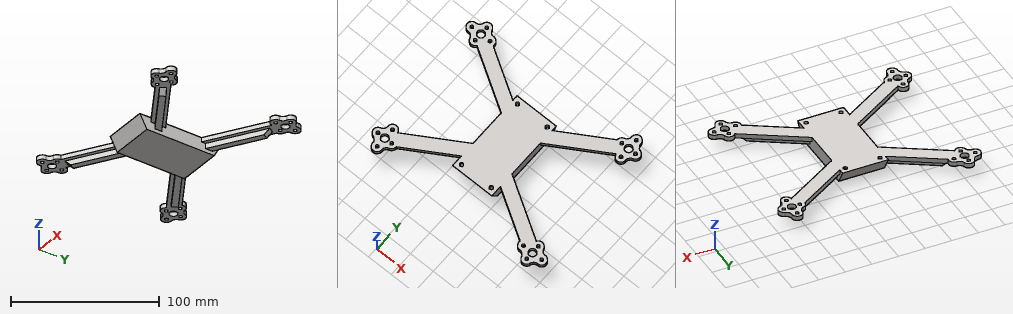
import cadquery as cq
import math

overall_x = 154.0
overall_y = 124.0
plate_thickness = 3.5

long_pitch = 8.0
short_pitch = 6.0
lobe_radius = 4.0
valley_radius = 4.0
screw_diameter = 2.5
shaft_diameter = 6.0
motor_x = overall_x / 2 - long_pitch - lobe_radius
motor_y = overall_y / 2 - long_pitch - lobe_radius

body_width = 34.5
body_length = 67.1
body_bottom_length = 55.5
body_height = 10.6
body_center_y = -2.5

mount_x = 13.1
mount_y = 29.1
mount_diameter = 3.0
mount_depth = plate_thickness
ramp_angle = 60.0

arm_width = 10.3
arm_root_x = body_width / 2
arm_root_y = 20.8
rib_width = 4.8
rib_bottom = 7.7
rib_end_gap = 10.5
rib_height = rib_bottom - plate_thickness
arm_length = math.hypot(motor_x - arm_root_x, motor_y - arm_root_y)
arm_angle = math.degrees(math.atan2(motor_y - arm_root_y, motor_x - arm_root_x))
root_overlap = 6.2

quadrants = [(sx, sy) for sx in (-1, 1) for sy in (-1, 1)]


def make_body():
    top = body_length / 2
    bottom = body_bottom_length / 2
    profile = [(-top, 0), (top, 0), (bottom, -body_height), (-bottom, -body_height)]
    body = cq.Workplane("YZ").polyline(profile).close().extrude(body_width / 2, both=True)
    return body.translate((0, body_center_y, 0))


def make_arm():
    """Arm in the +X +Y quadrant, built along X from the motor centre and then turned."""
    length = arm_length + root_overlap
    strip = cq.Workplane("XY").box(length, arm_width, plate_thickness, centered=(False, True, False))
    strip = strip.translate((-length, 0, -plate_thickness))
    rib_profile = [
        (-length, -plate_thickness),
        (-rib_end_gap, -plate_thickness),
        (-rib_end_gap - rib_height, -rib_bottom),
        (-length, -rib_bottom),
    ]
    rib = cq.Workplane("XZ").polyline(rib_profile).close().extrude(rib_width / 2, both=True)
    arm = strip.union(rib)
    return arm.rotate((0, 0, 0), (0, 0, 1), arm_angle).translate((motor_x, motor_y, 0))


def make_pad(pitch_x, pitch_y):
    """Four round lobes joined by concave arcs tangent to neighbouring lobes."""
    half_span = math.hypot(pitch_x, pitch_y) / 2
    rise = math.sqrt((lobe_radius + valley_radius) ** 2 - half_span**2)
    valley_x = pitch_x / 2 + rise * pitch_y / (2 * half_span)
    valley_y = pitch_y / 2 + rise * pitch_x / (2 * half_span)
    pad = cq.Workplane("XY").polyline(
        [
            (pitch_x, 0), (valley_x, valley_y), (0, pitch_y), (-valley_x, valley_y),
            (-pitch_x, 0), (-valley_x, -valley_y), (0, -pitch_y), (valley_x, -valley_y),
        ]
    ).close().extrude(-plate_thickness)
    valleys = [(sx * valley_x, sy * valley_y) for sx, sy in quadrants]
    pad = pad.cut(cq.Workplane("XY").pushPoints(valleys).circle(valley_radius).extrude(-plate_thickness))
    lobes = cq.Workplane("XY").pushPoints(screw_points(pitch_x, pitch_y))
    return pad.union(lobes.circle(lobe_radius).extrude(-plate_thickness))


def screw_points(pitch_x, pitch_y):
    return [(pitch_x, 0), (-pitch_x, 0), (0, pitch_y), (0, -pitch_y)]


def make_motor_holes(pitch_x, pitch_y):
    screws = cq.Workplane("XY").pushPoints(screw_points(pitch_x, pitch_y))
    screws = screws.circle(screw_diameter / 2).extrude(-plate_thickness)
    shaft = cq.Workplane("XY").circle(shaft_diameter / 2).extrude(-plate_thickness)
    return screws.union(shaft)


def make_mount_hole():
    """Blind hole for the +Y end; its floor climbs from the hole axis towards -Y."""
    radius = mount_diameter / 2
    ramp_rise = radius * math.tan(math.radians(ramp_angle))
    ramp_profile = [(0, -mount_depth), (-radius, -mount_depth), (-radius, ramp_rise - mount_depth)]
    ramp = cq.Workplane("YZ").polyline(ramp_profile).close().extrude(radius, both=True)
    return cq.Workplane("XY").circle(radius).extrude(-mount_depth).cut(ramp)


result = make_body()
arm = make_arm()
for sx, sy in quadrants:
    placed_arm = arm
    if sx < 0:
        placed_arm = placed_arm.mirror("YZ")
    if sy < 0:
        placed_arm = placed_arm.mirror("XZ")
    result = result.union(placed_arm)

for sx, sy in quadrants:
    pitches = (short_pitch, long_pitch) if sx == sy else (long_pitch, short_pitch)
    motor_center = (sx * motor_x, sy * motor_y, 0)
    result = result.union(make_pad(*pitches).translate(motor_center))
    result = result.cut(make_motor_holes(*pitches).translate(motor_center))

mount_hole = make_mount_hole()
for sx, sy in quadrants:
    hole = mount_hole if sy > 0 else mount_hole.mirror("XZ")
    result = result.cut(hole.translate((sx * mount_x, body_center_y + sy * mount_y, 0)))